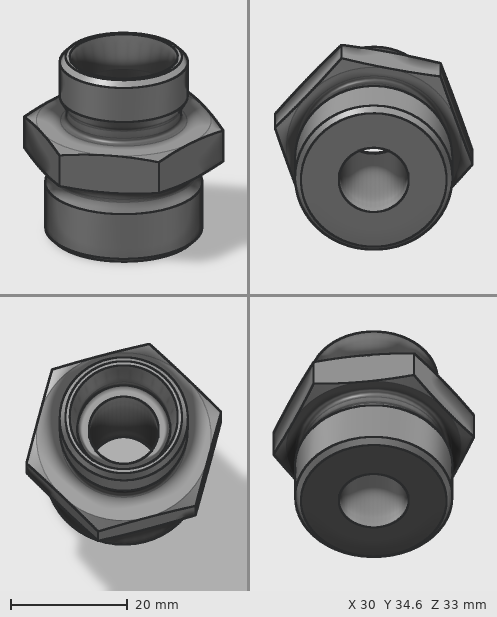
import cadquery as cq
import math

total_height = 33.0
hex_bottom = 14.0
hex_top = 21.0

hex_across_flats = 30.0
hex_bevel_angle = 15.0

lower_thread_diameter = 27.0
lower_neck_diameter = 24.7
upper_thread_diameter = 22.0
upper_neck_diameter = 19.7
end_chamfer = 1.0
undercut_length = 4.6
undercut_taper_angle = 30.0
undercut_radius = 1.0

through_diameter = 12.0
socket_diameter = 16.0
socket_depth = 8.0
cone_half_angle = 12.0
cone_depth = 6.0

hex_across_corners = hex_across_flats / math.cos(math.radians(30.0))


def tan_deg(angle):
    return math.tan(math.radians(angle))


def make_hexagon():
    """Hexagon with flats facing X, its corners turned off by cones at both ends."""
    height = hex_top - hex_bottom
    prism = (
        cq.Workplane("XY")
        .workplane(offset=hex_bottom)
        .polygon(6, hex_across_corners)
        .extrude(height)
        .rotate((0, 0, 0), (0, 0, 1), 30.0)
    )
    inscribed_radius = hex_across_flats / 2
    corner_radius = hex_across_corners / 2
    bevel_drop = (corner_radius - inscribed_radius) * tan_deg(hex_bevel_angle)
    turned_blank = (
        cq.Workplane("XZ")
        .moveTo(0, hex_bottom)
        .lineTo(inscribed_radius, hex_bottom)
        .lineTo(corner_radius, hex_bottom + bevel_drop)
        .lineTo(corner_radius, hex_top - bevel_drop)
        .lineTo(inscribed_radius, hex_top)
        .lineTo(0, hex_top)
        .close()
        .revolve(360, (0, 0, 0), (0, 1, 0))
    )
    return prism.intersect(turned_blank)


def make_threaded_end(hex_face, end_face, thread_diameter, neck_diameter):
    """Turned end running from a hexagon face to a free end face, with a rounded undercut."""
    direction = math.copysign(1.0, end_face - hex_face)
    thread_radius = thread_diameter / 2
    neck_radius = neck_diameter / 2
    diagonal = math.sqrt(0.5)

    root_end = hex_face + direction * undercut_radius
    root_middle_radius = neck_radius + undercut_radius * (1 - diagonal)
    root_middle = hex_face + direction * undercut_radius * (1 - diagonal)

    taper = math.radians(undercut_taper_angle)
    taper_length = (thread_radius - neck_radius) / math.tan(taper)
    thread_start = hex_face + direction * undercut_length
    taper_corner = thread_start - direction * taper_length
    tangent_length = undercut_radius * math.tan(taper / 2)
    blend_start = taper_corner - direction * tangent_length
    blend_middle_radius = neck_radius + undercut_radius * (1 - math.cos(taper / 2))
    blend_middle = blend_start + direction * undercut_radius * math.sin(taper / 2)
    blend_end_radius = neck_radius + tangent_length * math.sin(taper)
    blend_end = taper_corner + direction * tangent_length * math.cos(taper)

    return (
        cq.Workplane("XZ")
        .moveTo(0, hex_face)
        .lineTo(neck_radius + undercut_radius, hex_face)
        .threePointArc((root_middle_radius, root_middle), (neck_radius, root_end))
        .lineTo(neck_radius, blend_start)
        .threePointArc((blend_middle_radius, blend_middle), (blend_end_radius, blend_end))
        .lineTo(thread_radius, thread_start)
        .lineTo(thread_radius, end_face - direction * end_chamfer)
        .lineTo(thread_radius - end_chamfer, end_face)
        .lineTo(0, end_face)
        .close()
        .revolve(360, (0, 0, 0), (0, 1, 0))
    )


def make_bore():
    """Material removed along the axis: cone and socket from the upper end, hole right through."""
    socket_radius = socket_diameter / 2
    mouth_radius = socket_radius + cone_depth * tan_deg(cone_half_angle)
    return (
        cq.Workplane("XZ")
        .lineTo(through_diameter / 2, 0)
        .lineTo(through_diameter / 2, total_height - socket_depth)
        .lineTo(socket_radius, total_height - socket_depth)
        .lineTo(socket_radius, total_height - cone_depth)
        .lineTo(mouth_radius, total_height)
        .lineTo(0, total_height)
        .close()
        .revolve(360, (0, 0, 0), (0, 1, 0))
    )


lower_end = make_threaded_end(hex_bottom, 0.0, lower_thread_diameter, lower_neck_diameter)
upper_end = make_threaded_end(hex_top, total_height, upper_thread_diameter, upper_neck_diameter)

result = make_hexagon().union(lower_end).union(upper_end).cut(make_bore())